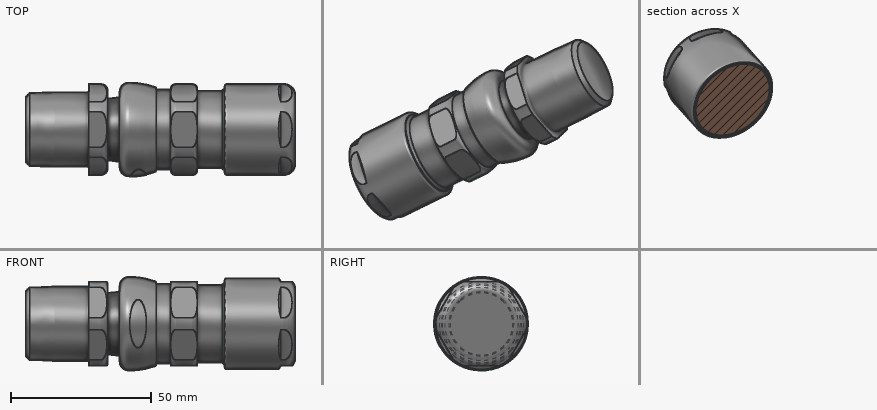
import cadquery as cq

across_flats = 30.0
collar_diameter = 32.5
flat_count = 6
collar_radius = collar_diameter / 2
flat_distance = across_flats / 2

plug_tip_diameter = 23.0
plug_tip_chamfer = 1.5
thread_diameter = 26.7
thread_taper_end = 10.3
thread_taper_ratio = 1 / 16
thread_root_fillet = 0.5
plug_hex_start = 22.6
plug_hex_end = 29.4
plug_hex_rounding = 2.6
neck_diameter = 22.2
neck_cone_start = 30.2
neck_end_diameter = 23.1

ring_start = 33.5
crown_diameter = 33.5
crown_front_rounding = 3.5
crown_end = 46.6
crown_end_diameter = 30.0
crown_end_fillet = 0.7

oval_center_x = 40.15
oval_width = 6.0
oval_height = 17.1
oval_relief = 0.14

sleeve_diameter = 28.6
body_hex_start = 51.7
body_hex_end = 61.3
body_hex_rounding = 1.9
barrel_diameter = 27.7
flare_start = 70.1
flare_end_diameter = 30.0
flare_end = flare_start + (flare_end_diameter - barrel_diameter) / 2

nut_start = 71.0
nut_end = 96.3
nut_front_fillet = 1.0
nut_end_rounding = 4.2
nut_flat_start = 91.1
nut_flat_runout = 0.9


def disc(start, end, diameter):
    """Cylinder on the X axis between two X positions."""
    return cq.Workplane("YZ", origin=(start, 0, 0)).circle(diameter / 2).extrude(end - start)


def cone(start, end, start_diameter, end_diameter):
    """Truncated cone on the X axis."""
    profile = [(start, 0), (start, start_diameter / 2), (end, end_diameter / 2), (end, 0)]
    return cq.Workplane("XY").polyline(profile).close().revolve(360, (0, 0, 0), (1, 0, 0))


def cut_flats(blank, start, end, runout=0):
    """Cut six flats, two of them facing +Z and -Z, with an optional sloped start."""
    flat_depth = collar_radius - flat_distance
    cutter_overshoot = 2
    profile = [
        (start, flat_distance),
        (end, flat_distance),
        (end, flat_distance + flat_depth * cutter_overshoot),
        (start - runout * cutter_overshoot, flat_distance + flat_depth * cutter_overshoot),
    ]
    cutter = cq.Workplane("XZ").polyline(profile).close().extrude(collar_radius, both=True)
    for index in range(flat_count):
        angle = index * 360 / flat_count
        blank = blank.cut(cutter.rotate((0, 0, 0), (1, 0, 0), angle))
    return blank


def make_plug():
    taper_start_diameter = thread_diameter - (thread_taper_end - plug_tip_chamfer) * thread_taper_ratio
    flange_blank = disc(plug_hex_start, plug_hex_end, collar_diameter)
    flange_blank = flange_blank.faces(">X").edges().fillet(plug_hex_rounding)
    flange = cut_flats(flange_blank, plug_hex_start, plug_hex_end)

    thread_radius = thread_diameter / 2
    thread = (
        cq.Workplane("XY")
        .moveTo(0, 0)
        .lineTo(0, plug_tip_diameter / 2)
        .lineTo(plug_tip_chamfer, taper_start_diameter / 2)
        .lineTo(thread_taper_end, thread_radius)
        .lineTo(plug_hex_start - thread_root_fillet, thread_radius)
        .tangentArcPoint((plug_hex_start, thread_radius + thread_root_fillet), relative=False)
        .lineTo(plug_hex_start, 0)
        .close()
        .revolve(360, (0, 0, 0), (1, 0, 0))
    )
    neck = disc(plug_hex_end, neck_cone_start, neck_diameter)
    neck = neck.union(cone(neck_cone_start, ring_start, neck_diameter, neck_end_diameter))
    return thread.union(flange).union(neck)


def crown_solid(growth=0.0):
    """Crowned ring; growth pushes its whole surface outward."""
    crown_radius = crown_diameter / 2 + growth
    front_rounding = crown_front_rounding + growth
    crown_front = ring_start - growth
    crown_top = crown_front + front_rounding
    crown_drop = (crown_diameter - crown_end_diameter) / 2
    return (
        cq.Workplane("XY")
        .moveTo(crown_front, 0)
        .lineTo(crown_front, crown_radius - front_rounding)
        .radiusArc((crown_top, crown_radius), front_rounding)
        .tangentArcPoint((crown_end, crown_radius - crown_drop), relative=False)
        .lineTo(crown_end, 0)
        .close()
        .revolve(360, (0, 0, 0), (1, 0, 0))
    )


def make_coupling_ring():
    crown = crown_solid().faces(">X").edges().fillet(crown_end_fillet)
    oval_column = (
        cq.Workplane("XZ", origin=(oval_center_x, 0, 0))
        .ellipse(oval_width / 2, oval_height / 2)
        .extrude(crown_diameter)
    )
    oval = crown_solid(oval_relief).intersect(oval_column)
    return crown.union(oval)


def make_hex_body():
    sleeve = disc(crown_end, body_hex_start, sleeve_diameter)
    hex_blank = disc(body_hex_start, body_hex_end, collar_diameter)
    hex_blank = hex_blank.faces("<X or >X").edges().fillet(body_hex_rounding)
    hexagon = cut_flats(hex_blank, body_hex_start, body_hex_end)
    barrel = disc(body_hex_end, flare_start, barrel_diameter)
    flare = cone(flare_start, flare_end, barrel_diameter, flare_end_diameter)
    return sleeve.union(hexagon).union(barrel).union(flare)


def make_cap_nut():
    nut = disc(nut_start, nut_end, collar_diameter)
    nut = nut.faces("<X").edges().fillet(nut_front_fillet)
    nut = nut.faces(">X").edges().fillet(nut_end_rounding)
    flare_recess = disc(nut_start, flare_end, flare_end_diameter)
    nut = nut.cut(flare_recess)
    return cut_flats(nut, nut_flat_start, nut_end, nut_flat_runout)


plug = make_plug()
coupling_ring = make_coupling_ring()
hex_body = make_hex_body()
cap_nut = make_cap_nut()

result = cq.Compound.makeCompound([
    plug.val(),
    coupling_ring.val(),
    hex_body.val(),
    cap_nut.val(),
])